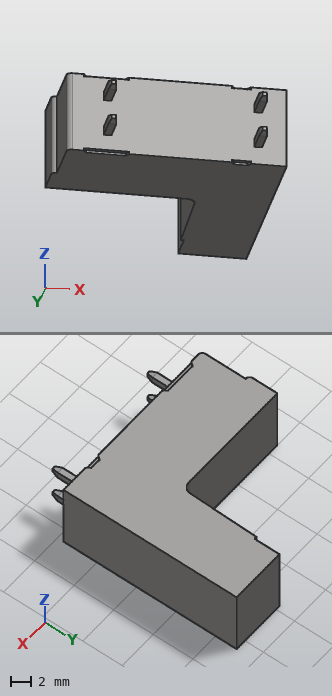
import cadquery as cq
import math

overall_length = 25.4
width = 22.7
height = 8.4
pin_length = 3.5
body_depth = overall_length - pin_length

foot_depth = 9.22
left_step = 0.5
left_step_y = 5.6
left_round = left_step
arm_end_width = 6.9
arm_ledge_width = 7.21
arm_ledge_from_end = 3.15
arm_draft_angle = 1.5
inner_corner_radius = 1.0

notch_depth = 0.45
notch_height = 0.25
notch_end_inset = 0.33
wide_notch_left = 2.15
wide_notch_width = 4.62
narrow_notch_left = 17.15
narrow_notch_width = 1.98

pin_width = 0.8
pin_height = 0.85
pin_tip_size = 0.4
pin_taper_length = 0.8
pin_pitch_x = 15.25
pin_pitch_z = 3.8
right_pin_from_edge = 2.9


def make_body():
    """Extrude the L outline, then round its concave inner corner."""
    ledge_y = body_depth - arm_ledge_from_end
    ledge_x = width - arm_ledge_width
    draft_shift = (ledge_y - foot_depth) * math.tan(math.radians(arm_draft_angle))
    inner_corner = (ledge_x - draft_shift, foot_depth)
    arc_inset = left_round * (1 - math.sqrt(0.5))
    body = (
        cq.Workplane("XY")
        .moveTo(left_step + left_round, 0)
        .lineTo(width, 0)
        .lineTo(width, body_depth)
        .lineTo(width - arm_end_width, body_depth)
        .lineTo(width - arm_end_width, ledge_y)
        .lineTo(ledge_x, ledge_y)
        .lineTo(*inner_corner)
        .lineTo(0, foot_depth)
        .lineTo(0, left_step_y + left_round)
        .threePointArc((arc_inset, left_step_y + arc_inset), (left_step, left_step_y))
        .lineTo(left_step, left_round)
        .threePointArc((left_step + arc_inset, arc_inset), (left_step + left_round, 0))
        .close()
        .extrude(height)
    )
    corner_edge = cq.selectors.NearestToPointSelector((*inner_corner, height / 2))
    return body.edges("|Z").edges(corner_edge).fillet(inner_corner_radius)


def make_notch(left, notch_width, bottom_z):
    """Trapezoid cutter, widest at the pin face."""
    right = left + notch_width
    return (
        cq.Workplane("XY", origin=(0, 0, bottom_z))
        .polyline([
            (left, 0),
            (right, 0),
            (right - notch_end_inset, notch_depth),
            (left + notch_end_inset, notch_depth),
        ])
        .close()
        .extrude(notch_height)
    )


def make_pin(x, z):
    """Straight shank pointing to -Y, ending in a four-sided taper."""
    shank_length = pin_length - pin_taper_length
    return (
        cq.Workplane("XZ", origin=(x, 0, z))
        .rect(pin_width, pin_height)
        .extrude(shank_length)
        .faces("<Y")
        .workplane()
        .rect(pin_width, pin_height)
        .workplane(offset=pin_taper_length)
        .rect(pin_tip_size, pin_tip_size)
        .loft(combine=True)
    )


result = make_body()

for notch_left, notch_width in (
    (wide_notch_left, wide_notch_width),
    (narrow_notch_left, narrow_notch_width),
):
    for notch_z in (0, height - notch_height):
        result = result.cut(make_notch(notch_left, notch_width, notch_z))

right_pin_x = width - right_pin_from_edge
for pin_x in (right_pin_x - pin_pitch_x, right_pin_x):
    for side in (-1, 1):
        pin_z = height / 2 + side * pin_pitch_z / 2
        result = result.union(make_pin(pin_x, pin_z))